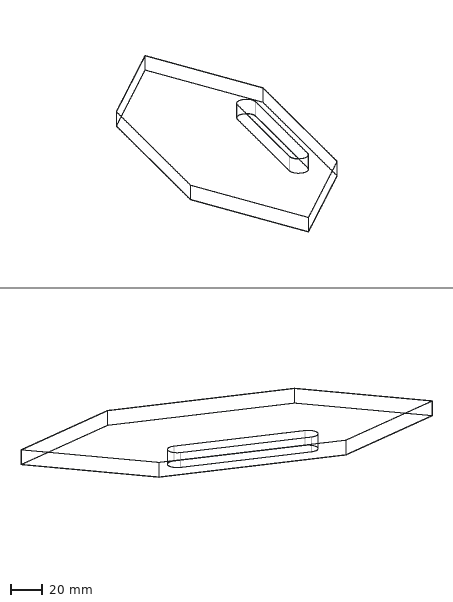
import cadquery as cq

LENGTH = 279.4
WIDTH = 101.6
THICKNESS = 10.16
STRAIGHT_EDGE = 127.0

SLOT_LENGTH = 101.6
SLOT_WIDTH = 12.7
SLOT_EDGE_MARGIN = 12.7
SLOT_CENTER_Y = WIDTH / 2 - SLOT_EDGE_MARGIN - SLOT_WIDTH / 2


def make_plate():
    """Hexagonal plate centred on the origin in X and Y, with its base at Z = 0."""
    tip_x = LENGTH / 2
    corner_x = STRAIGHT_EDGE / 2
    edge_y = WIDTH / 2
    outline = [
        (-tip_x, 0),
        (-corner_x, -edge_y),
        (corner_x, -edge_y),
        (tip_x, 0),
        (corner_x, edge_y),
        (-corner_x, edge_y),
    ]
    return cq.Workplane("XY").polyline(outline).close().extrude(THICKNESS)


def make_handle_slot():
    """Round-ended cutter through the full plate thickness."""
    slot = cq.Workplane("XY").center(0, SLOT_CENTER_Y).slot2D(SLOT_LENGTH, SLOT_WIDTH)
    return slot.extrude(THICKNESS)


result = make_plate().cut(make_handle_slot())